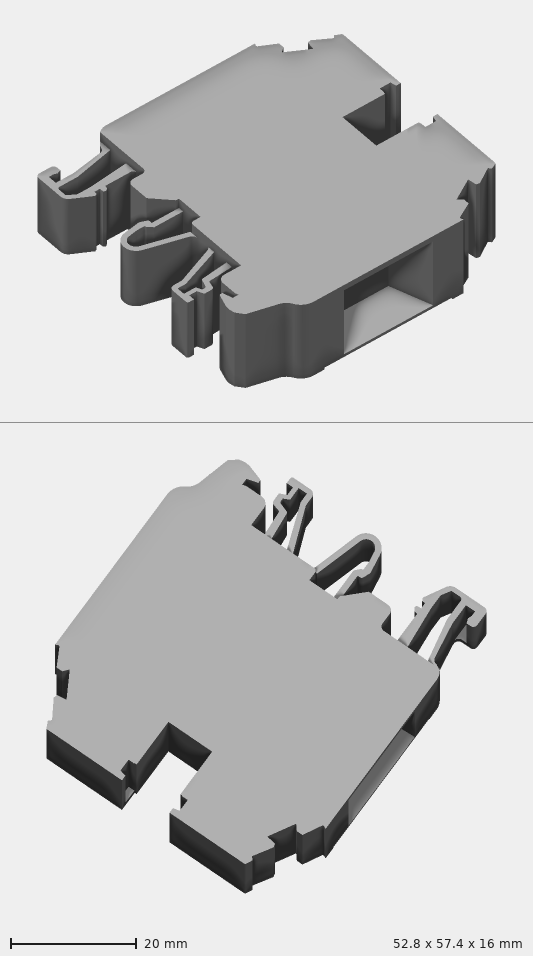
import cadquery as cq
import math


THICKNESS = 16.0
HALF_WIDTH = 26.4
TOP_Y = 44.4
FOOT_BOTTOM_Y = TOP_Y - 57.38
SHOULDER_Y = 32.2
FOOT_INSET = 2.0
FOOT_WIDTH = THICKNESS - 2 * FOOT_INSET
STEP_LEDGE_Y = -2.1
HOOK_LEDGE_END_X = -13.95
LOOP_LEDGE_X = (-5.77, -0.3)
CLIP_LEDGE_END_X = 12.55
SHOULDER_END_X = -23.6
SHOULDER_BOTTOM_Y = -1.0
LOBE_BOTTOM_Y = -3.92
CLAW_LOBE_BOTTOM_Y = -6.93
CLIP_BOTTOM_Y = -12.9

SLOT_HALF_WIDTH = 4.27
SLOT_MOUTH_HALF_WIDTH = 4.64
SLOT_STEP_Y = 40.9
MARKER_NOTCH_BACK = 5.77
MARKER_NOTCH_Y = (41.0, 43.2)
MARKER_NOTCH_FLARE = 0.25

WEB_THICKNESS = 1.4

FUNNEL_Y = (7.75, 25.95)
FUNNEL_Z = (1.0, 14.85)
FUNNEL_FLOOR_Y = (8.5, 22.3)
FUNNEL_FLOOR_Z = (2.4, 13.4)
FUNNEL_DEPTH = 6.8

RELIEF_Y = (3.75, 29.95)
RELIEF_HEIGHT = 0.4
RELIEF_DEPTH = 1.0


def mirrored(points):
    """Mirror outline corners across X = 0, reversing their order."""
    return [(-p[0],) + tuple(p[1:]) for p in reversed(points)]


def step_toward(origin, target, distance):
    """Point at a distance from origin on the way to target."""
    length = math.dist(origin, target)
    return tuple(a + (b - a) * distance / length for a, b in zip(origin, target))


def prism(corners, z_bottom, height):
    """Extrude a closed outline, rounding each corner that carries a radius."""
    sketch = None
    for i, corner in enumerate(corners):
        tip = corner[:2]
        before = corners[i - 1][:2]
        after = corners[(i + 1) % len(corners)][:2]
        radius = corner[2] if len(corner) > 2 else 0
        start, middle, end = tip, tip, tip
        if radius:
            to_before = step_toward(tip, before, 1)
            to_after = step_toward(tip, after, 1)
            half_angle = math.asin(math.dist(to_before, to_after) / 2)
            tangent_length = radius / math.tan(half_angle)
            start = step_toward(tip, before, tangent_length)
            end = step_toward(tip, after, tangent_length)
            chord_middle = tuple((a + b) / 2 for a, b in zip(start, end))
            middle = step_toward(tip, chord_middle, radius / math.sin(half_angle) - radius)
        if sketch is None:
            sketch = cq.Workplane("XY", origin=(0, 0, z_bottom)).moveTo(*start)
        else:
            sketch = sketch.lineTo(*start)
        if radius:
            sketch = sketch.threePointArc(middle, end)
    return sketch.close().extrude(height)


def box(x_range, y_range, z_range):
    """Axis-aligned box from its ranges."""
    size = [r[1] - r[0] for r in (x_range, y_range, z_range)]
    corner = (x_range[0], y_range[0], z_range[0])
    return cq.Workplane("XY").box(*size, centered=False).translate(corner)


def make_housing():
    """Full-thickness housing with stepped shoulders and a slot between two towers."""
    left_tower = [
        (-HALF_WIDTH, SHOULDER_Y),
        (-25.75, 31.85, 0.3),
        (-24.0, 35.15),
        (-22.9, 35.15),
        (-22.1, 34.2),
        (-19.6, 38.6),
        (-21.3, 38.85),
        (-21.45, 39.5),
        (-19.5, 42.7),
        (-20.0, 43.15),
        (-19.4, TOP_Y, 0.3),
        (-SLOT_MOUTH_HALF_WIDTH, TOP_Y),
        (-SLOT_MOUTH_HALF_WIDTH, SLOT_STEP_Y),
        (-SLOT_HALF_WIDTH, SLOT_STEP_Y),
        (-SLOT_HALF_WIDTH, SHOULDER_Y),
    ]
    lower_edge = [
        (HALF_WIDTH, -0.25, 3.2),
        (23.65, -1.97, 3.0),
        (21.87, -8.7),
        (20.45, -9.85),
        (19.3, -10.05),
        (18.45, -9.95),
        (15.95, -9.15),
        (15.7, -9.0),
        (15.7, -8.45),
        (17.62, -7.9),
        (17.62, -6.7),
        (17.0, CLAW_LOBE_BOTTOM_Y),
        (CLIP_LEDGE_END_X, CLAW_LOBE_BOTTOM_Y, 1.4),
        (CLIP_LEDGE_END_X, STEP_LEDGE_Y),
        (LOOP_LEDGE_X[1], STEP_LEDGE_Y, 0.6),
        (LOOP_LEDGE_X[1], 0),
        (LOOP_LEDGE_X[0], 0),
        (LOOP_LEDGE_X[0], -0.6),
        (-9.1, LOBE_BOTTOM_Y),
        (HOOK_LEDGE_END_X, LOBE_BOTTOM_Y, 1.1),
        (HOOK_LEDGE_END_X, 0, 0.9),
        (SHOULDER_END_X, 0),
        (SHOULDER_END_X, SHOULDER_BOTTOM_Y),
        (-HALF_WIDTH, -0.43, 2.7),
    ]
    return prism(left_tower + mirrored(left_tower) + lower_edge, 0, THICKNESS)


def shoulder_reliefs():
    """Cutters that narrow the rounded left shoulder below the ledge to the foot width."""
    x_range = (-HALF_WIDTH, SHOULDER_END_X)
    y_range = (SHOULDER_BOTTOM_Y, 0)
    low = box(x_range, y_range, (0, FOOT_INSET))
    high = box(x_range, y_range, (THICKNESS - FOOT_INSET, THICKNESS))
    return low.union(high)


def marker_notch():
    """Flared notch in the left wall of the slot, open upward from its web."""
    low, high = MARKER_NOTCH_Y
    corners = [
        (-SLOT_MOUTH_HALF_WIDTH, low),
        (-MARKER_NOTCH_BACK, low),
        (-MARKER_NOTCH_BACK, high),
        (-SLOT_MOUTH_HALF_WIDTH, high + MARKER_NOTCH_FLARE),
    ]
    return prism(corners, WEB_THICKNESS, THICKNESS - WEB_THICKNESS)


def wire_funnel():
    """Tapered wire entry in the left side."""
    def rectangle(x, y_range, z_range):
        points = [
            (x, y_range[0], z_range[0]),
            (x, y_range[1], z_range[0]),
            (x, y_range[1], z_range[1]),
            (x, y_range[0], z_range[1]),
        ]
        return cq.Wire.makePolygon([cq.Vector(*p) for p in points], close=True)

    mouth = rectangle(-HALF_WIDTH, FUNNEL_Y, FUNNEL_Z)
    floor = rectangle(-HALF_WIDTH + FUNNEL_DEPTH, FUNNEL_FLOOR_Y, FUNNEL_FLOOR_Z)
    return cq.Workplane(cq.Solid.makeLoft([mouth, floor], True))


def edge_relief():
    """Shallow relief in the lower face along the left side."""
    return box((-HALF_WIDTH, -HALF_WIDTH + RELIEF_DEPTH), RELIEF_Y, (0, RELIEF_HEIGHT))


def make_hook_foot():
    """Left foot: two legs joined at the bottom, with an outward catch hook."""
    outer = [
        (-24.6, 0),
        (-24.6, -0.8),
        (-23.75, SHOULDER_BOTTOM_Y, 0.9),
        (-22.63, -7.9),
        (-22.63, -9.15, 0.9),
        (-26.0, -9.15, 0.8),
        (-26.0, FOOT_BOTTOM_Y, 0.8),
        (-18.73, FOOT_BOTTOM_Y, 1.6),
        (-16.3, -8.6),
        (-16.55, -8.1),
        (-17.13, -8.05),
        (-17.13, -7.0),
        (-16.35, -6.95),
        (-16.1, -6.55),
        (-16.5, -6.0),
        (-17.13, -5.9),
        (-17.13, -0.55),
        (-16.6, 0),
    ]
    window = [
        (-23.15, 0),
        (-21.53, -7.95),
        (-21.53, -12.15, 0.5),
        (-19.35, -12.15, 0.3),
        (-18.4, -10.55),
        (-18.4, -8.0),
        (-19.15, 0),
    ]
    catch_slot = [
        (-22.63, -8.1),
        (-23.7, -8.1),
        (-24.45, -9.15),
        (-24.15, -9.95),
        (-24.4, -10.65),
        (-24.4, -11.55),
        (-22.63, -11.55),
    ]
    foot = prism(outer, FOOT_INSET, FOOT_WIDTH)
    foot = foot.cut(prism(window, FOOT_INSET, FOOT_WIDTH))
    return foot.cut(prism(catch_slot, FOOT_INSET + WEB_THICKNESS, FOOT_WIDTH - WEB_THICKNESS))


def make_loop_foot():
    """Middle foot: a U-shaped spring loop with a nose on its left leg."""
    left_x, right_x = LOOP_LEDGE_X
    bend_radius = 2.5
    wall = 1.05
    outer = [
        (left_x, 0),
        (left_x, -5.55),
        (-6.55, -5.55, 0.5),
        (-7.15, -7.1),
        (-4.92, -21.55, bend_radius),
        (0.75, STEP_LEDGE_Y, 1.2),
        (1.8, STEP_LEDGE_Y),
        (right_x, STEP_LEDGE_Y),
        (right_x, 0),
    ]
    window = [
        (left_x + wall, 0),
        (left_x + wall, -5.9),
        (-5.55, -6.8),
        (-5.9, -6.9),
        (-5.9, -8.5),
        (-4.55, -16.55, bend_radius - wall),
        (right_x, STEP_LEDGE_Y),
        (right_x, 0),
    ]
    foot = prism(outer, FOOT_INSET, FOOT_WIDTH)
    return foot.cut(prism(window, FOOT_INSET, FOOT_WIDTH))


def make_clip_foot():
    """Right foot: a slanted leg and a kinked leg joined by a latch bar."""
    outer = [
        (4.35, STEP_LEDGE_Y),
        (4.75, -2.6),
        (7.73, -10.3),
        (7.73, CLIP_BOTTOM_Y, 0.95),
        (12.37, CLIP_BOTTOM_Y, 0.4),
        (12.37, -11.55),
        (11.15, -11.55),
        (11.15, -10.0),
        (12.37, -9.45),
        (12.37, -7.5, 0.7),
        (10.6, -7.05, 0.3),
        (10.25, STEP_LEDGE_Y),
    ]
    window = [
        (5.75, STEP_LEDGE_Y),
        (8.73, -10.3),
        (8.73, -11.98),
        (10.33, -11.98),
        (10.33, -9.6, 0.3),
        (11.37, -9.1),
        (11.37, -8.3, 0.3),
        (9.45, -7.65, 0.3),
        (8.9, STEP_LEDGE_Y),
    ]
    foot = prism(outer, FOOT_INSET, FOOT_WIDTH)
    return foot.cut(prism(window, FOOT_INSET, FOOT_WIDTH))


result = make_housing().cut(shoulder_reliefs())
for left_cutter in (marker_notch(), wire_funnel(), edge_relief()):
    result = result.cut(left_cutter).cut(left_cutter.mirror("YZ"))
for foot in (make_hook_foot(), make_loop_foot(), make_clip_foot()):
    result = result.union(foot)